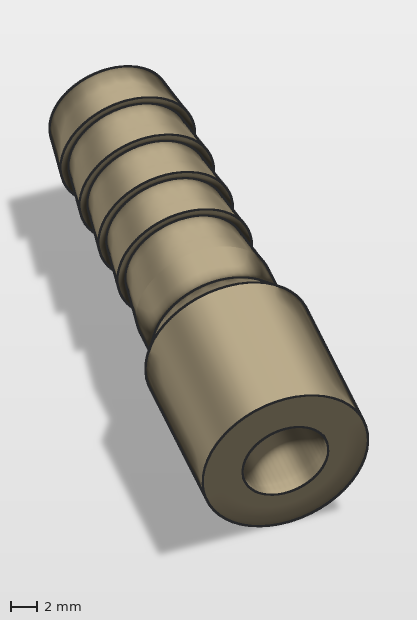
import cadquery as cq

length = 40.0
sleeve_diameter = 13.5
bore_diameter = 7.0

barb_count = 5
barbs_end = 21.5
barb_pitch = barbs_end / barb_count
barb_root_diameter = 9.7
barb_crest_diameter = 11.0

neck_end = 25.0
sleeve_start = 27.0


def wall_section():
    """Section of the wall on one side of the axis, as (X, radius) points."""
    bore_radius = bore_diameter / 2
    root_radius = barb_root_diameter / 2
    crest_radius = barb_crest_diameter / 2
    sleeve_radius = sleeve_diameter / 2

    points = [(0, bore_radius)]
    for index in range(barb_count):
        start = index * barb_pitch
        points.append((start, root_radius))
        points.append((start + barb_pitch, crest_radius))
    points += [
        (neck_end, crest_radius),
        (sleeve_start, sleeve_radius),
        (length, sleeve_radius),
        (length, bore_radius),
    ]
    return points


result = (
    cq.Workplane("XZ")
    .polyline(wall_section())
    .close()
    .revolve(360, (0, 0, 0), (1, 0, 0))
)